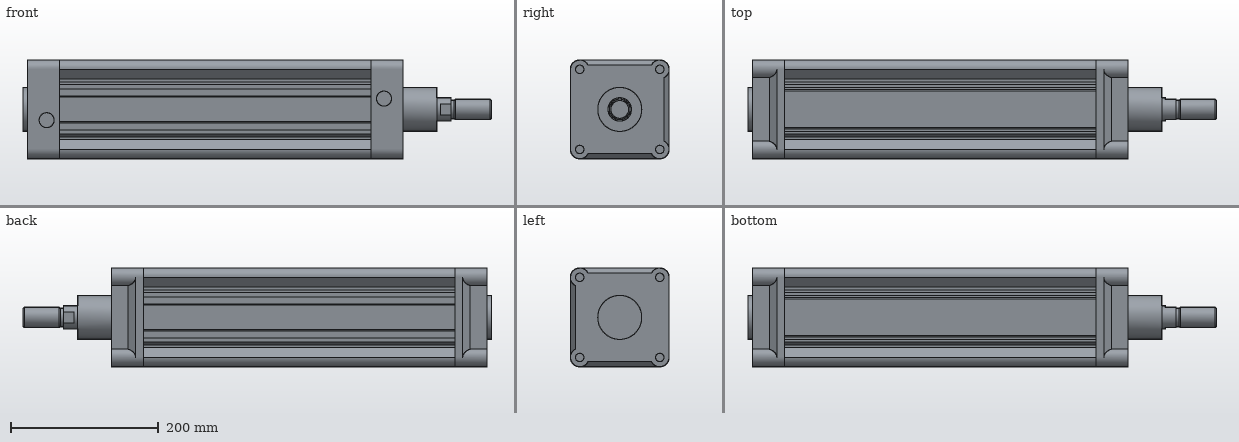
import cadquery as cq
import math


REAR_BOSS_LENGTH = 6.05
CAP_LENGTH = 44.0
BARREL_LENGTH = 421.5
FRONT_BOSS_LENGTH = 46.0
TOTAL_LENGTH = 635.0
BARREL_START = REAR_BOSS_LENGTH + CAP_LENGTH
BARREL_END = BARREL_START + BARREL_LENGTH
FRONT_CAP_END = BARREL_END + CAP_LENGTH
FRONT_BOSS_END = FRONT_CAP_END + FRONT_BOSS_LENGTH

WIDTH = 134.0
HALF_WIDTH = WIDTH / 2
CORNER_RADIUS = 13.0
CORNER_CENTER = HALF_WIDTH - CORNER_RADIUS

BOSS_RADIUS = 30.0
POCKET_DEPTH = 7.0
POCKET_RIM = 11.0
POCKET_SLOPE = 10.0
BOLT_HOLE_RADIUS = 6.0
BOLT_HOLE_DEPTH = 13.0
PORT_RADIUS = 10.0
PORT_DEPTH = 19.0
PORT_FROM_BARREL = 18.0
PORT_OFFSET = 14.5

GROOVE_DEPTH = 13.5
GROOVE_FLOOR_OUTER = CORNER_CENTER - GROOVE_DEPTH
GROOVE_FLOOR_INNER = 37.5
GROOVE_LIP = 33.5
CHANNEL_DEPTH = 2.0
SIDE_CHANNEL = 28.0
SIDE_PANEL = 16.5
TOP_CHANNEL = 30.0
TOP_PANEL = 25.0

ROD_RADIUS = 16.0
FLAT_OFFSET = 14.0
FLAT_START = 566.0
FLAT_END = 580.5
NECK_RADIUS = 13.0
THREAD_START = 584.0
THREAD_RADIUS = 14.0
THREAD_CHAMFER = 2.0


def x_cylinder(radius, start, end, y=0.0, z=0.0):
    """Solid cylinder along X between two stations."""
    return cq.Workplane("YZ", origin=(start, y, z)).circle(radius).extrude(end - start)


def pocket_cutter():
    """Pocket in the +Z side of a rear cap, open at the outer face, with a sloping inner wall.

    Its long edges curve around the round corner columns.
    """
    floor = HALF_WIDTH - POCKET_DEPTH
    wall_top = BARREL_START - POCKET_RIM
    floor_angle = math.asin((floor - CORNER_CENTER) / CORNER_RADIUS)
    floor_edge = CORNER_CENTER - CORNER_RADIUS * math.cos(floor_angle)
    middle_angle = (floor_angle + math.pi / 2) / 2
    middle_edge = CORNER_CENTER - CORNER_RADIUS * math.cos(middle_angle)
    middle_height = CORNER_CENTER + CORNER_RADIUS * math.sin(middle_angle)
    prism = (
        cq.Workplane("YZ", origin=(REAR_BOSS_LENGTH, 0, 0))
        .moveTo(-floor_edge, floor)
        .lineTo(floor_edge, floor)
        .threePointArc((middle_edge, middle_height), (CORNER_CENTER, HALF_WIDTH))
        .lineTo(-CORNER_CENTER, HALF_WIDTH)
        .threePointArc((-middle_edge, middle_height), (-floor_edge, floor))
        .close()
        .extrude(wall_top - REAR_BOSS_LENGTH)
    )
    inner_wall = (
        cq.Workplane("XZ")
        .polyline([(wall_top - POCKET_SLOPE, floor), (wall_top, HALF_WIDTH), (wall_top, floor)])
        .close()
        .extrude(HALF_WIDTH, both=True)
    )
    return prism.cut(inner_wall)


def corner_centers():
    """The four (y, z) corner axes."""
    return [(y, z) for y in (-CORNER_CENTER, CORNER_CENTER) for z in (-CORNER_CENTER, CORNER_CENTER)]


def make_cap(port_height):
    """Cap block at the rear position, without its boss."""
    cap = (
        cq.Workplane("YZ", origin=(REAR_BOSS_LENGTH, 0, 0))
        .rect(WIDTH, WIDTH)
        .extrude(CAP_LENGTH)
        .edges("|X")
        .fillet(CORNER_RADIUS)
    )
    for angle in (0, -90, 180):
        cap = cap.cut(pocket_cutter().rotate((0, 0, 0), (1, 0, 0), angle))
    hole_end = REAR_BOSS_LENGTH + BOLT_HOLE_DEPTH
    for y, z in corner_centers():
        cap = cap.cut(x_cylinder(BOLT_HOLE_RADIUS, REAR_BOSS_LENGTH, hole_end, y, z))
    port = (
        cq.Workplane("XZ", origin=(BARREL_START - PORT_FROM_BARREL, -HALF_WIDTH, port_height))
        .circle(PORT_RADIUS)
        .extrude(-PORT_DEPTH)
    )
    return cap.cut(port)


def make_rear_cap():
    """Cap with a short boss on its outer face."""
    boss = x_cylinder(BOSS_RADIUS, 0, REAR_BOSS_LENGTH)
    return make_cap(-PORT_OFFSET).union(boss)


def make_front_cap():
    """Mirrored cap with a long boss, bored through for the rod."""
    barrel_middle = (BARREL_START + BARREL_END) / 2
    cap = make_cap(PORT_OFFSET).mirror("YZ", (barrel_middle, 0, 0))
    cap = cap.union(x_cylinder(BOSS_RADIUS, FRONT_CAP_END, FRONT_BOSS_END))
    return cap.cut(x_cylinder(ROD_RADIUS, BARREL_END, FRONT_BOSS_END))


def side_points(channel_edge, panel_edge):
    """One barrel side as (position along the side, distance from the axis) points."""
    ridge = HALF_WIDTH
    floor = HALF_WIDTH - GROOVE_DEPTH
    channel = HALF_WIDTH - CHANNEL_DEPTH
    half = [
        (CORNER_CENTER, ridge),
        (GROOVE_FLOOR_OUTER, floor),
        (GROOVE_FLOOR_INNER, floor),
        (GROOVE_LIP, ridge),
        (channel_edge, ridge),
        (channel_edge, channel),
        (panel_edge + CHANNEL_DEPTH, channel),
        (panel_edge, ridge),
    ]
    return [(-along, out) for along, out in half] + half[::-1]


def turned(point, quarter_turns):
    """A side point turned clockwise about the axis, starting from the +Z side."""
    y, z = point
    for _ in range(quarter_turns):
        y, z = z, -y
    return (y, z)


def make_barrel():
    """Extruded profile with grooves and a middle panel on every side."""
    arc_middle = CORNER_CENTER + CORNER_RADIUS * math.sqrt(0.5)
    top = side_points(TOP_CHANNEL, TOP_PANEL)
    side = side_points(SIDE_CHANNEL, SIDE_PANEL)
    outline = cq.Workplane("YZ", origin=(BARREL_START, 0, 0)).moveTo(*top[0])
    for turn, points in enumerate((top, side, top, side)):
        for point in points[1:]:
            outline = outline.lineTo(*turned(point, turn))
        corner_end = turned(top[0], turn + 1)
        outline = outline.threePointArc(turned((arc_middle, arc_middle), turn), corner_end)
    return outline.close().extrude(BARREL_LENGTH)


def make_rod():
    """Rod with two spanner flats, a neck and a threaded end."""
    shank = x_cylinder(ROD_RADIUS, BARREL_END, FLAT_END)
    for side in (-1, 1):
        flat = cq.Workplane("XY").box(FLAT_END - FLAT_START, ROD_RADIUS, 2 * ROD_RADIUS)
        flat = flat.translate(((FLAT_START + FLAT_END) / 2, side * (FLAT_OFFSET + ROD_RADIUS / 2), 0))
        shank = shank.cut(flat)
    neck = x_cylinder(NECK_RADIUS, FLAT_END, THREAD_START)
    thread = x_cylinder(THREAD_RADIUS, THREAD_START, TOTAL_LENGTH)
    thread = thread.faces("<X or >X").chamfer(THREAD_CHAMFER)
    return shank.union(neck).union(thread)


rear_cap = make_rear_cap()
barrel = make_barrel()
front_cap = make_front_cap()
rod = make_rod()

result = cq.Compound.makeCompound([rear_cap.val(), barrel.val(), front_cap.val(), rod.val()])